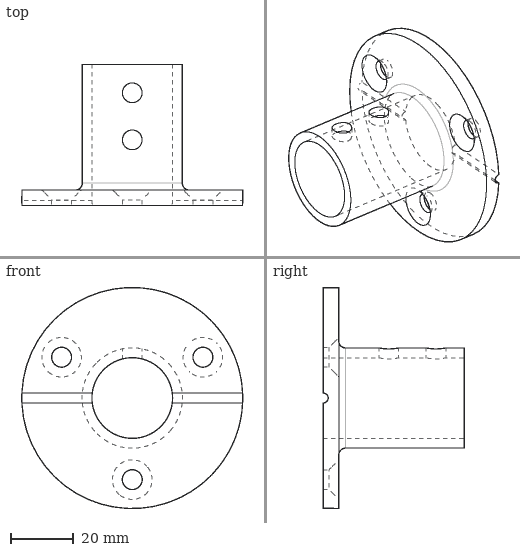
import cadquery as cq
import math

flange_diameter = 70.5
flange_thickness = 5.0

total_length = 45.0
tube_diameter = 32.0
bore_diameter = 25.65
fillet_radius = 2.1

hole_diameter = 6.3
countersink_diameter = 12.6
countersink_half_angle = 45.0
bolt_circle_radius = 26.0
bolt_count = 3
first_bolt_angle = -90.0
end_to_first_pin = 9.0
pin_spacing = 15.0
groove_radius = 1.55


def cylinder_along_y(diameter, length):
    """Cylinder from the front face of the flange toward +Y."""
    return cq.Workplane("XZ").circle(diameter / 2).extrude(-length)


def make_body():
    """Flange and tube with a concave fillet where they meet."""
    flange = cylinder_along_y(flange_diameter, flange_thickness)
    tube = cylinder_along_y(tube_diameter, total_length)
    bore = cylinder_along_y(bore_diameter, total_length)
    return flange.union(tube).union(make_root_fillet()).cut(bore)


def make_root_fillet():
    """Ring that fills the corner between the tube and the back of the flange."""
    tube_radius = tube_diameter / 2
    arc_offset = fillet_radius * (1 - math.sqrt(0.5))
    return (
        cq.Workplane("XY")
        .moveTo(bore_diameter / 2, flange_thickness)
        .lineTo(tube_radius + fillet_radius, flange_thickness)
        .threePointArc(
            (tube_radius + arc_offset, flange_thickness + arc_offset),
            (tube_radius, flange_thickness + fillet_radius),
        )
        .lineTo(bore_diameter / 2, flange_thickness + fillet_radius)
        .close()
        .revolve(360, (0, 0, 0), (0, 1, 0))
    )


def make_bolt_holes():
    """Through holes in the flange, each countersunk from the back."""
    sink_width = (countersink_diameter - hole_diameter) / 2
    sink_depth = sink_width / math.tan(math.radians(countersink_half_angle))
    back_face = cq.Workplane("XZ", origin=(0, flange_thickness, 0))
    sinks = (
        back_face.polarArray(bolt_circle_radius, first_bolt_angle, 360, bolt_count)
        .circle(countersink_diameter / 2)
        .extrude(sink_depth, taper=countersink_half_angle)
    )
    shanks = (
        back_face.polarArray(bolt_circle_radius, first_bolt_angle, 360, bolt_count)
        .circle(hole_diameter / 2)
        .extrude(flange_thickness)
    )
    return shanks.union(sinks)


def make_pin_holes():
    """Two holes through the upper wall of the tube only."""
    first_pin_y = total_length - end_to_first_pin
    pin_centers = [(0, first_pin_y), (0, first_pin_y - pin_spacing)]
    return (
        cq.Workplane("XY")
        .pushPoints(pin_centers)
        .circle(hole_diameter / 2)
        .extrude(tube_diameter / 2)
    )


def make_groove():
    """Half-round groove across the front face, along X."""
    return cq.Workplane("YZ").circle(groove_radius).extrude(flange_diameter / 2, both=True)


result = make_body().cut(make_bolt_holes()).cut(make_pin_holes()).cut(make_groove())